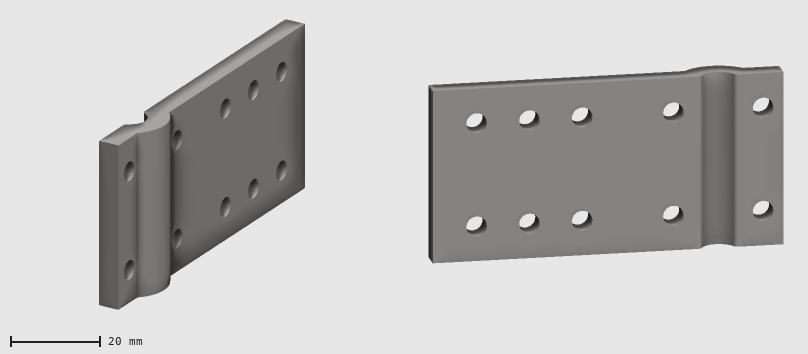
import cadquery as cq
import math

length = 79.75
height = 40.0
thickness = 5.0
total_depth = 8.0

groove_y = 14.8
groove_radius = 4.0
lip_radius = 1.0
groove_depth = total_depth - thickness
bend_x = groove_depth - groove_radius
bulge_radius = total_depth - bend_x

hole_diameter = 4.6
row_spacing = 24.0
flange_hole_y = 4.6
near_hole_y = 25.05
end_hole_y = length - 10.0
end_hole_pitch = row_spacing / 2
end_hole_count = 3

bulge_half = math.sqrt(bulge_radius**2 - (thickness - bend_x)**2)
lip_half = math.sqrt((groove_radius + lip_radius)**2 - (lip_radius - bend_x)**2)

tangent_ratio = groove_radius / (groove_radius + lip_radius)
tangent_x = bend_x + (lip_radius - bend_x) * tangent_ratio
tangent_half = lip_half * tangent_ratio
lip_angle = math.acos((lip_radius - bend_x) / (groove_radius + lip_radius)) / 2
lip_mid_x = lip_radius * (1 - math.cos(lip_angle))
lip_mid_half = lip_half - lip_radius * math.sin(lip_angle)


def make_plate():
    """Extrude the bent profile, centred on the mid-height."""
    return (
        cq.Workplane("XY")
        .workplane(offset=-height / 2)
        .moveTo(0, 0)
        .lineTo(thickness, 0)
        .lineTo(thickness, groove_y - bulge_half)
        .threePointArc((total_depth, groove_y), (thickness, groove_y + bulge_half))
        .lineTo(thickness, length)
        .lineTo(0, length)
        .lineTo(0, groove_y + lip_half)
        .threePointArc((lip_mid_x, groove_y + lip_mid_half), (tangent_x, groove_y + tangent_half))
        .threePointArc((groove_depth, groove_y), (tangent_x, groove_y - tangent_half))
        .threePointArc((lip_mid_x, groove_y - lip_mid_half), (0, groove_y - lip_half))
        .close()
        .extrude(height)
    )


def make_holes():
    """Through-hole cylinders along X for both rows."""
    columns = [flange_hole_y, near_hole_y]
    columns += [end_hole_y - i * end_hole_pitch for i in range(end_hole_count)]
    centres = [(y, z) for y in columns for z in (-row_spacing / 2, row_spacing / 2)]
    return cq.Workplane("YZ").pushPoints(centres).circle(hole_diameter / 2).extrude(thickness)


result = make_plate().cut(make_holes())